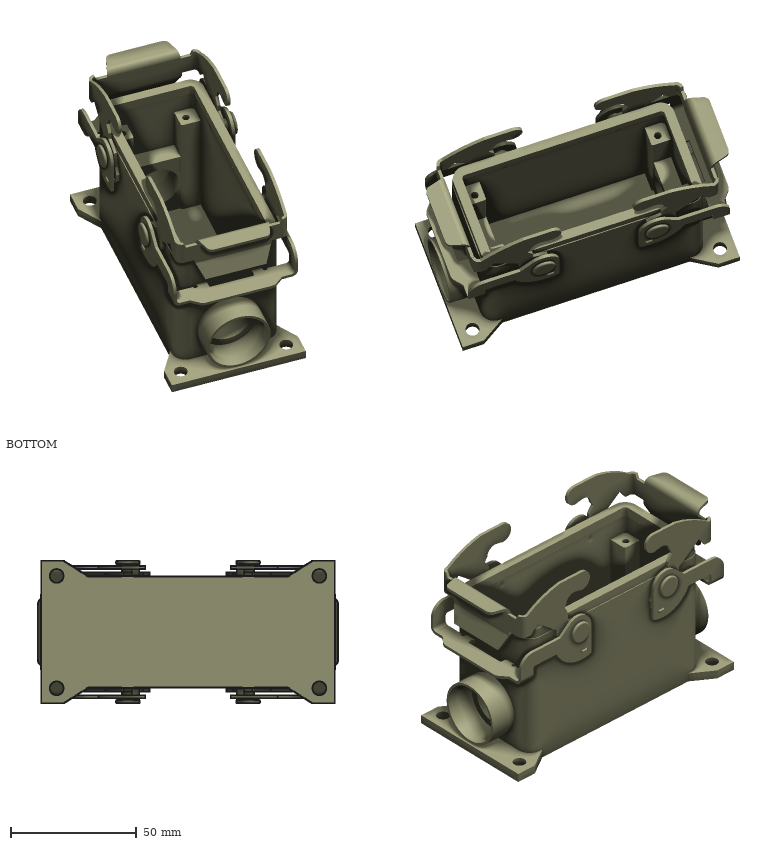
import cadquery as cq
import math


HOUSING_HALF_X = 47.0
HOUSING_HALF_Y = 22.2
HOUSING_HEIGHT = 63.0
HOUSING_CORNER = 6.0
RIM_BOTTOM = 58.8
RIM_STEP = 0.4
MOUTH_HALF_X = 42.8
MOUTH_HALF_Y = 18.0
MOUTH_CORNER = 1.5
FLOOR_THICKNESS = 3.8

FOOT_THICKNESS = 3.8
FOOT_END = 58.7
FOOT_WIDTH = 57.0
FOOT_HALF_Y = FOOT_WIDTH / 2
FOOT_TAPER_START = 49.7
FOOT_TAPER_END = 39.7
FOOT_HOLE_DIAMETER = 5.5
FOOT_HOLE_X = 52.4
FOOT_HOLE_Y = 22.4

POST_INNER_X = 35.0
POST_INNER_Y = 10.1
POST_TOP = 50.4
POST_ROUNDING = 0.8
SCREW_DIAMETER = 3.0
SCREW_DEPTH = 9.6
SCREW_TAPER = 2
SCREW_X = 38.8
SCREW_Y = 13.4
BLOCK_TOP = 32.4
LEFT_BLOCK_FACE = -35.9
RIGHT_BLOCK_FACE = POST_INNER_X

SOCKET_Z = 18.5
SOCKET_RADIUS = 13.5
SOCKET_BORE_RADIUS = 12.5
SOCKET_FLOOR_X = 46.1
CABLE_HOLE_RADIUS = 9.5

PIVOT_X = -24.0
PIVOT_Z = 55.9
PIN_RADIUS = 2.5
PIN_EMBED = 1.2
PIN_ROOT_Y = HOUSING_HALF_Y - PIN_EMBED
PIN_TIP_Y = FOOT_HALF_Y
HEAD_RADIUS = 4.8
HEAD_THICKNESS = 1.4
DIMPLE_RADIUS = 1.8
DIMPLE_DEPTH = 0.2

SHEET = 1.3
BEND_INNER = 1.5
BEND_OUTER = BEND_INNER + SHEET
BEND_OVERLAP = 1.2
LEVER_WIDTH = 47.6
LEVER_OUTER_Y = LEVER_WIDTH / 2
HANDLE_WIDTH = 52.9
HANDLE_OUTER_Y = HANDLE_WIDTH / 2

WEB_X = -52.2
WEB_BOTTOM = 63.3
WEB_SIDE_TOP = 73.4
WEB_TOP = 71.4
WEB_DIP_BOTTOM_Y = 20.0
WEB_DIP_TOP_Y = 21.0
BEND_END_X = WEB_X + BEND_OUTER
LEVER_TOP = 81.0
BACK_MIDDLE = (-40.3, 78.3)
BACK_FLAT_X = -31.3
NOSE_DIAMETER = 8.5
NOSE_RADIUS = NOSE_DIAMETER / 2
NOSE_X = -19.5
NOSE_END_ANGLE = -115
THROAT_RADIUS = NOSE_RADIUS
THROAT_Z = 69.0
THROAT_START_ANGLE = 75
THROAT_END_ANGLE = 175
BARB = (-29.5, 67.3)
NECK_X = -27.2
NECK_TOP = 64.2
NECK_BOTTOM = 61.2
SHOULDER = (-21.0, 58.8)
LOBE_CREST = (-19.8, 52.3)
LOBE_RADIUS = 9.2
LOBE_FACE_X = -17.9
LOBE_FACE_TOP = 49.4
LOBE_FACE_BOTTOM = 46.2
LOBE_END_ANGLE = -100
LOBE_LEFT_TOP = 59.1
GAP_PEAK = (-44.0, 67.4)
GAP_FOOT_X = -47.1
THUMB_END = -60.0
THUMB_TOP = 74.4
THUMB_ROOT_Y = 15.6
THUMB_END_Y = 13.0
THUMB_ROUNDING = 2.6
TONGUE_TOP = 64.1
TONGUE_KNEE = 61.8
TONGUE_ANGLE = 24
TONGUE_LENGTH = 7.4
TONGUE_ROOT_Y = 16.2
TONGUE_TIP_Y = 12.7
TONGUE_ROUNDING = 1.4
STOP_X = -20.9
STOP_Z = 45.0
STOP_LENGTH = 3.0
STOP_HEIGHT = 1.4
STOP_TIP_Y = 27.0
STOP_CHAMFER = 0.4

ARM_OUTER_X = -55.3
ARM_INNER_X = -48.5
ARM_TOP = 56.9
ARM_BOTTOM = 50.0
ARM_OUTER_RADIUS = 6.6
ARM_INNER_RADIUS = 1.1
EYE_DIAMETER = 14.0
EYE_RADIUS = EYE_DIAMETER / 2
EYE_START_X = -33.6
EYE_START_ANGLE = 122
SKIRT_X = -22.2
SKIRT_Z = 56.4
SKIRT_RADIUS = 15.1
BAR_BOTTOM = 43.5
BAR_TOP = BAR_BOTTOM + SHEET
BAR_BEND_TOP = BAR_BOTTOM + BEND_OUTER
LIP_X = -58.8
LIP_ROOT_Y = 19.5
LIP_END_Y = 15.4
LIP_ROUNDING = 3.6
TAB_OUTER_Y = 13.9
TAB_INNER_Y = 9.6
TAB_DROP = 0.7
RELIEF_WIDTH = 1.8
RELIEF_DEPTH = 0.8
NOTCH_DEPTH = 2.3
NOTCH_ROUNDING = 0.5


def block(x0, x1, y0, y1, z0, z1):
    """Box between two opposite corners."""
    return cq.Workplane("XY").box(x1 - x0, y1 - y0, z1 - z0, centered=False).translate((x0, y0, z0))


def rounded_block(half_x, half_y, radius, z0, z1):
    """Box centred on Z with rounded vertical edges."""
    return block(-half_x, half_x, -half_y, half_y, z0, z1).edges("|Z").fillet(radius)


def front_sheet(outline, outer_y):
    """Sheet parallel to XZ with its outer face at -outer_y."""
    return outline.extrude(SHEET).translate((0, SHEET - outer_y, 0))


def both_sides(shape):
    """Shape together with its mirror image across the XZ plane."""
    return shape.union(shape.mirror("XZ"))


def both_ends(shape):
    """Shape together with its mirror image across the YZ plane."""
    return shape.union(shape.mirror("YZ"))


def on_circle(x, z, radius, degrees):
    """Point on a circle, with the angle measured from +X towards +Z."""
    angle = math.radians(degrees)
    return (x + radius * math.cos(angle), z + radius * math.sin(angle))


def make_foot():
    """Mounting foot at the -X end, tapering into the housing sides."""
    outline = [
        (-FOOT_END, -FOOT_HALF_Y),
        (-FOOT_TAPER_START, -FOOT_HALF_Y),
        (-FOOT_TAPER_END, -HOUSING_HALF_Y),
        (-FOOT_TAPER_END, HOUSING_HALF_Y),
        (-FOOT_TAPER_START, FOOT_HALF_Y),
        (-FOOT_END, FOOT_HALF_Y),
    ]
    foot = cq.Workplane("XY").polyline(outline).close().extrude(FOOT_THICKNESS)
    holes = (
        cq.Workplane("XY")
        .pushPoints([(-FOOT_HOLE_X, -FOOT_HOLE_Y), (-FOOT_HOLE_X, FOOT_HOLE_Y)])
        .circle(FOOT_HOLE_DIAMETER / 2)
        .extrude(FOOT_THICKNESS)
    )
    return foot.cut(holes)


def make_cavity():
    """Space inside the shell, leaving the corner posts and end blocks standing."""
    mouth = rounded_block(MOUTH_HALF_X, MOUTH_HALF_Y, MOUTH_CORNER, RIM_BOTTOM, HOUSING_HEIGHT)
    half_x = MOUTH_HALF_X + RIM_STEP
    half_y = MOUTH_HALF_Y + RIM_STEP
    cavity = rounded_block(half_x, half_y, MOUTH_CORNER + RIM_STEP, FLOOR_THICKNESS, RIM_BOTTOM)
    post = (
        block(POST_INNER_X, half_x, POST_INNER_Y, half_y, FLOOR_THICKNESS, POST_TOP)
        .edges("|Z and <X and <Y")
        .fillet(POST_ROUNDING)
    )
    screw = (
        cq.Workplane("XY", origin=(SCREW_X, SCREW_Y, POST_TOP))
        .circle(SCREW_DIAMETER / 2)
        .extrude(-SCREW_DEPTH, taper=SCREW_TAPER)
    )
    posts = both_ends(both_sides(post.cut(screw)))
    left_block = block(-half_x, LEFT_BLOCK_FACE, -half_y, half_y, FLOOR_THICKNESS, BLOCK_TOP)
    right_block = block(RIGHT_BLOCK_FACE, half_x, -half_y, half_y, FLOOR_THICKNESS, BLOCK_TOP)
    return cavity.cut(posts).cut(left_block).cut(right_block).union(mouth)


def along_x(radius, x0, x1):
    """Cylinder on the cable axis between two X positions."""
    return cq.Workplane("YZ", origin=(x0, 0, SOCKET_Z)).circle(radius).extrude(x1 - x0)


def make_housing():
    """Shell with feet, cavity, cable sockets and the pin dimples inside the long walls."""
    shell = rounded_block(HOUSING_HALF_X, HOUSING_HALF_Y, HOUSING_CORNER, 0, RIM_BOTTOM)
    rim = rounded_block(
        HOUSING_HALF_X - RIM_STEP,
        HOUSING_HALF_Y - RIM_STEP,
        HOUSING_CORNER - RIM_STEP,
        RIM_BOTTOM,
        HOUSING_HEIGHT,
    )
    sockets = both_ends(along_x(SOCKET_RADIUS, -FOOT_END, -SOCKET_FLOOR_X))
    bores = both_ends(along_x(SOCKET_BORE_RADIUS, -FOOT_END, -SOCKET_FLOOR_X))
    cable_hole = along_x(CABLE_HOLE_RADIUS, -FOOT_END, FOOT_END)
    wall_y = MOUTH_HALF_Y + RIM_STEP
    cone = cq.Solid.makeCone(
        DIMPLE_RADIUS, 0, DIMPLE_DEPTH, pnt=cq.Vector(PIVOT_X, -wall_y, PIVOT_Z), dir=cq.Vector(0, -1, 0)
    )
    dimples = both_ends(both_sides(cq.Workplane(cone)))
    housing = shell.union(rim).union(both_ends(make_foot())).union(sockets)
    return housing.cut(make_cavity()).cut(bores).cut(cable_hole).cut(dimples)


def make_pin():
    """Pivot pin with a round-edged head, standing out of the -Y wall."""
    shank = (
        cq.Workplane("XZ", origin=(PIVOT_X, -PIN_ROOT_Y, PIVOT_Z))
        .circle(PIN_RADIUS)
        .extrude(PIN_TIP_Y - PIN_ROOT_Y - HEAD_THICKNESS / 2)
    )
    edge = HEAD_THICKNESS / 2
    head = (
        cq.Workplane("XY", origin=(PIVOT_X, 0, PIVOT_Z))
        .moveTo(0, -PIN_TIP_Y)
        .lineTo(HEAD_RADIUS - edge, -PIN_TIP_Y)
        .threePointArc((HEAD_RADIUS, edge - PIN_TIP_Y), (HEAD_RADIUS - edge, HEAD_THICKNESS - PIN_TIP_Y))
        .lineTo(0, HEAD_THICKNESS - PIN_TIP_Y)
        .close()
        .revolve(360, (0, 0), (0, 1))
    )
    return shank.union(head)


def make_hook():
    """Hooked side plate of the lever, with the stop that reaches through the handle."""
    nose_z = LEVER_TOP - NOSE_RADIUS
    nose_end = on_circle(NOSE_X, nose_z, NOSE_RADIUS, NOSE_END_ANGLE)
    lobe_left = PIVOT_X - LOBE_RADIUS
    stop_bottom = STOP_Z - STOP_HEIGHT / 2
    stop_right = STOP_X + STOP_LENGTH / 2
    stop_left = STOP_X - STOP_LENGTH / 2
    outline = (
        cq.Workplane("XZ")
        .moveTo(BEND_END_X, WEB_SIDE_TOP)
        .threePointArc(BACK_MIDDLE, (BACK_FLAT_X, LEVER_TOP))
        .lineTo(NOSE_X, LEVER_TOP)
        .threePointArc((NOSE_X + NOSE_RADIUS, nose_z), nose_end)
        .lineTo(*on_circle(PIVOT_X, THROAT_Z, THROAT_RADIUS, THROAT_START_ANGLE))
        .threePointArc(
            on_circle(PIVOT_X, THROAT_Z, THROAT_RADIUS, (THROAT_START_ANGLE + THROAT_END_ANGLE) / 2),
            on_circle(PIVOT_X, THROAT_Z, THROAT_RADIUS, THROAT_END_ANGLE),
        )
        .lineTo(*BARB)
        .lineTo(NECK_X, NECK_TOP)
        .lineTo(NECK_X, NECK_BOTTOM)
        .lineTo(*SHOULDER)
        .lineTo(*LOBE_CREST)
        .lineTo(LOBE_FACE_X, LOBE_FACE_TOP)
        .lineTo(LOBE_FACE_X, LOBE_FACE_BOTTOM)
        .lineTo(stop_right, stop_bottom)
        .lineTo(stop_left, stop_bottom)
        .lineTo(*on_circle(PIVOT_X, PIVOT_Z, LOBE_RADIUS, LOBE_END_ANGLE))
        .threePointArc(on_circle(PIVOT_X, PIVOT_Z, LOBE_RADIUS, -140), (lobe_left, PIVOT_Z))
        .lineTo(lobe_left, LOBE_LEFT_TOP)
        .lineTo(*GAP_PEAK)
        .lineTo(GAP_FOOT_X, WEB_BOTTOM)
        .lineTo(BEND_END_X, WEB_BOTTOM)
        .close()
    )
    stop_root_y = LEVER_OUTER_Y - SHEET
    stop = (
        cq.Workplane("XZ", origin=(STOP_X, -stop_root_y, STOP_Z))
        .rect(STOP_LENGTH, STOP_HEIGHT)
        .extrude(STOP_TIP_Y - stop_root_y)
        .faces("<Y")
        .chamfer(STOP_CHAMFER)
    )
    return front_sheet(outline, LEVER_OUTER_Y).union(stop)


def make_web():
    """Cross plate bent round into the two hooks, dipped along its top edge."""
    inner_y = LEVER_OUTER_Y - SHEET
    end_x = BEND_END_X + BEND_OVERLAP
    outside = block(WEB_X, end_x, -LEVER_OUTER_Y, LEVER_OUTER_Y, WEB_BOTTOM, WEB_SIDE_TOP)
    inside = block(WEB_X + SHEET, end_x, -inner_y, inner_y, WEB_BOTTOM, WEB_SIDE_TOP)
    web = outside.edges("|Z and <X").fillet(BEND_OUTER)
    web = web.cut(inside.edges("|Z and <X").fillet(BEND_INNER))
    dip = (
        cq.Workplane("YZ", origin=(WEB_X, 0, 0))
        .moveTo(-WEB_DIP_TOP_Y, WEB_SIDE_TOP)
        .lineTo(-WEB_DIP_BOTTOM_Y, WEB_TOP)
        .lineTo(WEB_DIP_BOTTOM_Y, WEB_TOP)
        .lineTo(WEB_DIP_TOP_Y, WEB_SIDE_TOP)
        .close()
        .extrude(BEND_OUTER)
    )
    return web.cut(dip)


def make_thumb_plate():
    """Plate bent outward from the top of the web."""
    bend_x = WEB_X + SHEET - BEND_OUTER
    bend_z = THUMB_TOP - BEND_OUTER
    profile = (
        cq.Workplane("XZ", origin=(0, THUMB_ROOT_Y, 0))
        .moveTo(WEB_X + SHEET, WEB_TOP)
        .lineTo(WEB_X + SHEET, bend_z)
        .threePointArc(on_circle(bend_x, bend_z, BEND_OUTER, 45), (bend_x, THUMB_TOP))
        .lineTo(THUMB_END, THUMB_TOP)
        .lineTo(THUMB_END, THUMB_TOP - SHEET)
        .lineTo(bend_x, THUMB_TOP - SHEET)
        .threePointArc(on_circle(bend_x, bend_z, BEND_INNER, 45), (WEB_X, bend_z))
        .lineTo(WEB_X, WEB_TOP)
        .close()
        .extrude(2 * THUMB_ROOT_Y)
    )
    plan = (
        cq.Workplane("XY", origin=(0, 0, WEB_TOP))
        .moveTo(WEB_X + SHEET, -THUMB_ROOT_Y)
        .lineTo(THUMB_END, -THUMB_END_Y)
        .lineTo(THUMB_END, THUMB_END_Y)
        .lineTo(WEB_X + SHEET, THUMB_ROOT_Y)
        .close()
        .extrude(THUMB_TOP - WEB_TOP)
        .edges("|Z and <X")
        .fillet(THUMB_ROUNDING)
    )
    return profile.intersect(plan)


def make_tongue():
    """Tongue hanging from the web and bent outward at its knee."""
    bend_x = WEB_X - BEND_INNER
    reach_x = TONGUE_LENGTH * math.sin(math.radians(TONGUE_ANGLE))
    reach_z = TONGUE_LENGTH * math.cos(math.radians(TONGUE_ANGLE))

    def bend_point(radius, degrees):
        return on_circle(bend_x, TONGUE_KNEE, radius, -degrees)

    outer_x, outer_z = bend_point(BEND_INNER, TONGUE_ANGLE)
    inner_x, inner_z = bend_point(BEND_OUTER, TONGUE_ANGLE)
    tip_x = outer_x - reach_x
    tip_z = inner_z - reach_z
    profile = (
        cq.Workplane("XZ", origin=(0, TONGUE_ROOT_Y, 0))
        .moveTo(WEB_X, TONGUE_TOP)
        .lineTo(WEB_X, TONGUE_KNEE)
        .threePointArc(bend_point(BEND_INNER, TONGUE_ANGLE / 2), (outer_x, outer_z))
        .lineTo(tip_x, outer_z - reach_z)
        .lineTo(inner_x - reach_x, tip_z)
        .lineTo(inner_x, inner_z)
        .threePointArc(bend_point(BEND_OUTER, TONGUE_ANGLE / 2), (WEB_X + SHEET, TONGUE_KNEE))
        .lineTo(WEB_X + SHEET, TONGUE_TOP)
        .close()
        .extrude(2 * TONGUE_ROOT_Y)
    )
    outline = (
        cq.Workplane("YZ", origin=(tip_x, 0, 0))
        .moveTo(-TONGUE_ROOT_Y, TONGUE_TOP)
        .lineTo(-TONGUE_ROOT_Y, TONGUE_KNEE)
        .lineTo(-TONGUE_TIP_Y, tip_z)
        .lineTo(TONGUE_TIP_Y, tip_z)
        .lineTo(TONGUE_ROOT_Y, TONGUE_KNEE)
        .lineTo(TONGUE_ROOT_Y, TONGUE_TOP)
        .close()
        .extrude(WEB_X + SHEET - tip_x)
        .edges("|X and <Z")
        .fillet(TONGUE_ROUNDING)
    )
    return profile.intersect(outline)


def make_handle_arm():
    """Side plate of the handle: pivot eye, lower skirt and arm down to the bar."""
    eye_right = PIVOT_X + EYE_RADIUS
    skirt_right_z = SKIRT_Z - math.sqrt(SKIRT_RADIUS**2 - (eye_right - SKIRT_X) ** 2)
    skirt_left_x = SKIRT_X - math.sqrt(SKIRT_RADIUS**2 - (SKIRT_Z - ARM_BOTTOM) ** 2)
    bend_x = ARM_OUTER_X + ARM_OUTER_RADIUS
    bend_z = ARM_TOP - ARM_OUTER_RADIUS
    corner_x = ARM_INNER_X + ARM_INNER_RADIUS
    corner_z = ARM_BOTTOM - ARM_INNER_RADIUS
    outline = (
        cq.Workplane("XZ")
        .moveTo(ARM_OUTER_X, BAR_BEND_TOP)
        .lineTo(ARM_OUTER_X, bend_z)
        .threePointArc(on_circle(bend_x, bend_z, ARM_OUTER_RADIUS, 135), (bend_x, ARM_TOP))
        .lineTo(EYE_START_X, ARM_TOP)
        .lineTo(*on_circle(PIVOT_X, PIVOT_Z, EYE_RADIUS, EYE_START_ANGLE))
        .threePointArc(on_circle(PIVOT_X, PIVOT_Z, EYE_RADIUS, 60), (eye_right, PIVOT_Z))
        .lineTo(eye_right, skirt_right_z)
        .threePointArc(on_circle(SKIRT_X, SKIRT_Z, SKIRT_RADIUS, -120), (skirt_left_x, ARM_BOTTOM))
        .lineTo(corner_x, ARM_BOTTOM)
        .threePointArc(on_circle(corner_x, corner_z, ARM_INNER_RADIUS, 135), (ARM_INNER_X, corner_z))
        .lineTo(ARM_INNER_X, BAR_BEND_TOP)
        .close()
    )
    return front_sheet(outline, HANDLE_OUTER_Y)


def make_handle_bar():
    """Cross bar bent up into the arms, with an outer lip and two tabs that meet the housing.

    The inner edge is notched between the tabs and relieved beside them.
    """
    inner_y = HANDLE_OUTER_Y - SHEET
    end_z = BAR_BEND_TOP + BEND_OVERLAP
    outside = block(ARM_OUTER_X, ARM_INNER_X, -HANDLE_OUTER_Y, HANDLE_OUTER_Y, BAR_BOTTOM, end_z)
    inside = block(ARM_OUTER_X, ARM_INNER_X, -inner_y, inner_y, BAR_TOP, end_z)
    bar = outside.edges("|X and <Z").fillet(BEND_OUTER)
    bar = bar.cut(inside.edges("|X and <Z").fillet(BEND_INNER))
    lip = (
        cq.Workplane("XY", origin=(0, 0, BAR_BOTTOM))
        .moveTo(ARM_OUTER_X, -LIP_ROOT_Y)
        .lineTo(LIP_X, -LIP_END_Y)
        .lineTo(LIP_X, LIP_END_Y)
        .lineTo(ARM_OUTER_X, LIP_ROOT_Y)
        .close()
        .extrude(SHEET)
        .edges("|Z and <X")
        .fillet(LIP_ROUNDING)
    )
    tab_end = -HOUSING_HALF_X + RIM_STEP
    tab = (
        cq.Workplane("XZ", origin=(0, -TAB_INNER_Y, 0))
        .moveTo(ARM_INNER_X, BAR_TOP)
        .lineTo(tab_end, BAR_TOP - TAB_DROP)
        .lineTo(tab_end, BAR_BOTTOM - TAB_DROP)
        .lineTo(ARM_INNER_X + TAB_DROP / 2, BAR_BOTTOM - TAB_DROP)
        .lineTo(ARM_INNER_X, BAR_BOTTOM)
        .close()
        .extrude(TAB_OUTER_Y - TAB_INNER_Y)
    )
    relief = (
        block(
            ARM_INNER_X - RELIEF_DEPTH,
            ARM_INNER_X,
            -TAB_OUTER_Y - RELIEF_WIDTH,
            -TAB_OUTER_Y,
            BAR_BOTTOM,
            BAR_TOP,
        )
        .edges("|Z and <X")
        .fillet(RELIEF_DEPTH / 2)
    )
    notch = (
        block(ARM_INNER_X - NOTCH_DEPTH, ARM_INNER_X, -TAB_INNER_Y, TAB_INNER_Y, BAR_BOTTOM, BAR_TOP)
        .edges("|Z and <X")
        .fillet(NOTCH_ROUNDING)
    )
    return bar.union(lip).cut(both_sides(relief)).cut(notch).union(both_sides(tab))


def make_latch():
    """Complete latch at the -X end: lever, handle and both pivot pins."""
    lever = both_sides(make_hook()).union(make_web()).union(make_thumb_plate()).union(make_tongue())
    handle = both_sides(make_handle_arm()).union(make_handle_bar())
    return lever.union(handle).union(both_sides(make_pin()))


result = make_housing().union(both_ends(make_latch()))